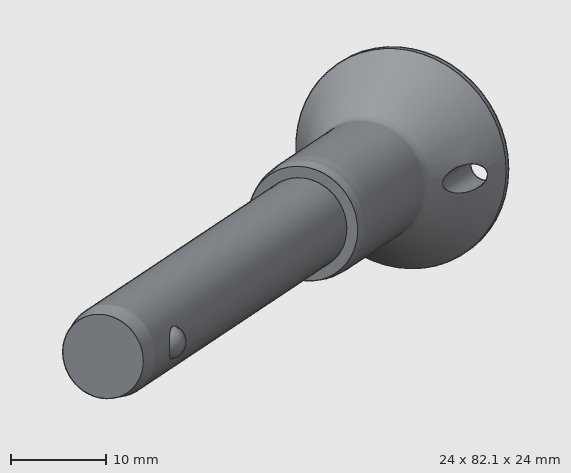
import cadquery as cq

length = 82.1

head_radius = 12.0
rim_thickness = 0.7
flare_end = 9.5
flare_blend_radius = 1.65

sleeve_radius = 6.6
sleeve_end = 27.5
sleeve_chamfer_length = 1.2
sleeve_end_radius = 6.2
collar_length = 1.7
collar_end_radius = 6.5

shank_radius = 5.0
tip_length = 2.3
tip_radius = 4.6

ball_radius = 1.8
ball_reach = 6.1
ball_from_tip = 7.8

hole_diameter = 3.0
hole_offset = 9.2


def make_head_and_sleeve():
    """Revolve the flared head and sleeve, then blend the corner between them."""
    flare_y = length - flare_end
    sleeve_y = length - sleeve_end
    chamfer_y = sleeve_y + sleeve_chamfer_length
    profile = (
        cq.Workplane("XY")
        .moveTo(0, length)
        .lineTo(head_radius, length)
        .lineTo(head_radius, length - rim_thickness)
        .lineTo(sleeve_radius, flare_y)
        .lineTo(sleeve_radius, chamfer_y + collar_length)
        .lineTo(collar_end_radius, chamfer_y)
        .lineTo(sleeve_end_radius, sleeve_y)
        .lineTo(0, sleeve_y)
        .close()
    )
    body = profile.revolve(360, (0, 0, 0), (0, 1, 0))
    flare_corner = cq.selectors.BoxSelector(
        (-head_radius, flare_y - 0.1, -head_radius),
        (head_radius, flare_y + 0.1, head_radius),
        boundingbox=True,
    )
    return body.edges(flare_corner).fillet(flare_blend_radius)


def make_shank():
    """Revolve the shank, which runs into the sleeve and tapers at the tip."""
    return (
        cq.Workplane("XY")
        .lineTo(tip_radius, 0)
        .lineTo(shank_radius, tip_length)
        .lineTo(shank_radius, length - flare_end)
        .lineTo(0, length - flare_end)
        .close()
        .revolve(360, (0, 0, 0), (0, 1, 0))
    )


def make_ball(side):
    """Make one locking ball on the +X (side = 1) or -X (side = -1) flank."""
    center_x = side * (ball_reach - ball_radius)
    return cq.Workplane("XY").sphere(ball_radius).translate((center_x, ball_from_tip, 0))


def make_lanyard_hole():
    """Make the cutter for the hole through the flare, parallel to the pin axis."""
    return (
        cq.Workplane("XZ", origin=(0, length, 0))
        .center(hole_offset, 0)
        .circle(hole_diameter / 2)
        .extrude(flare_end)
    )


result = make_head_and_sleeve().union(make_shank())
for side in (-1, 1):
    result = result.union(make_ball(side))
result = result.cut(make_lanyard_hole())